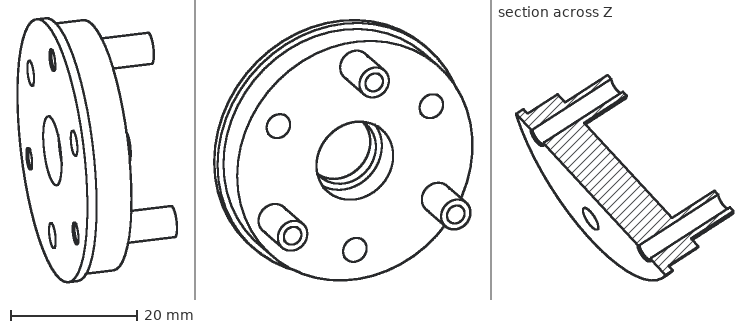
import cadquery as cq

flange_diameter = 42.0
flange_thickness = 1.5
body_diameter = 40.0
body_end = 7.5
total_depth = 16.0
bore_diameter = 11.0
recess_diameter = 13.0
recess_depth = 5.0

post_count = 3
post_diameter = 5.0
post_circle_radius = 16.0
post_start_angle = 90
post_hole_diameter = 3.0
post_entry_chamfer = 0.25
chamfer_angle = 45

mount_hole_count = 3
mount_hole_diameter = 4.0
mount_circle_radius = 15.0
mount_start_angle = 30


def cylinder(diameter, start, end):
    """Cylinder on the part axis, from Y = start to Y = end."""
    plane = cq.Workplane("XZ").workplane(offset=-start)
    return plane.circle(diameter / 2).extrude(start - end)


def ring_of_cylinders(diameter, start, end, circle_radius, start_angle, count, taper=0):
    """Equally spaced cylinders parallel to Y on a circle about the part axis, narrowing by the taper."""
    plane = cq.Workplane("XZ").workplane(offset=-start)
    centres = plane.polarArray(circle_radius, start_angle, 360, count)
    return centres.circle(diameter / 2).extrude(start - end, taper=taper)


def post_ring(diameter, start, end, taper=0):
    """Cylinders or cones centred on the post axes."""
    return ring_of_cylinders(
        diameter, start, end, post_circle_radius, post_start_angle, post_count, taper
    )


flange = cylinder(flange_diameter, 0, flange_thickness)
body = cylinder(body_diameter, 0, body_end)
posts = post_ring(post_diameter, 0, total_depth)
solid = flange.union(body).union(posts)

bore = cylinder(bore_diameter, 0, body_end)
recess = cylinder(recess_diameter, body_end - recess_depth, body_end)

mount_holes = ring_of_cylinders(
    mount_hole_diameter, 0, body_end, mount_circle_radius, mount_start_angle, mount_hole_count
)

post_holes = post_ring(post_hole_diameter, 0, total_depth)
entry_diameter = post_hole_diameter + 2 * post_entry_chamfer
post_entries = post_ring(entry_diameter, 0, post_entry_chamfer, chamfer_angle)

result = solid.cut(bore).cut(recess).cut(mount_holes).cut(post_holes).cut(post_entries)